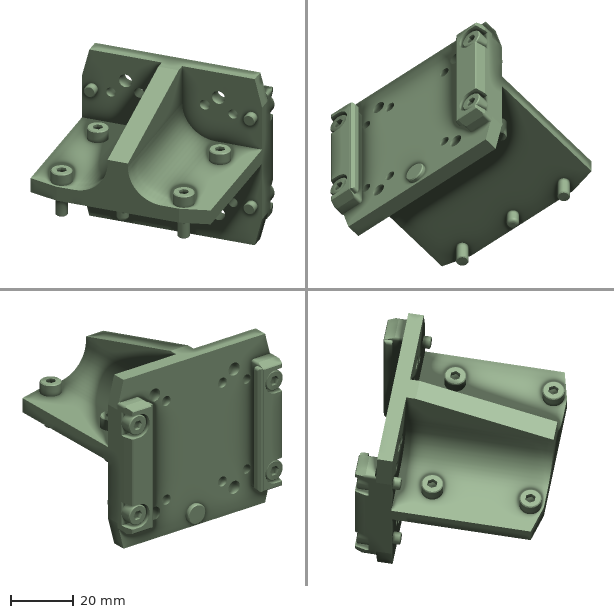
import cadquery as cq
import math


width = 62.0
plate_height = 60.0
thickness = 5.0
shelf_depth = 48.0
corner_long = 9.85
corner_short = 2.55
rib_width = 7.0
rib_fillet = 11.6
rib_flat_depth = 3.1
rib_front_height = 18.05

plate_holes = [
    (16.0, 21.0, 4.5),
    (11.3, 17.55, 3.5),
    (21.0, 16.0, 3.2),
]

head_diameter = 7.0
head_height = 4.0
shank_diameter = 4.0
screw_chamfer = 0.3
socket_corner_diameter = 3.5
socket_depth = 1.6
socket_cone_depth = 1.0

shelf_screw_x = 21.0
shelf_screw_y = (-11.6, -43.6)
shelf_screw_reach = 7.0
rail_screw_x = 27.45
rail_screw_z = 16.0
rail_screw_reach = 2.55

rail_height = 7.0
rail_neck_width = 8.5
rail_half_length = 22.7
rail_lip = 1.55
rail_lip_bottom = 4.0
rail_lip_top = 5.8
rail_lip_crest = 6.7
lip_half_length = 21.8
rail_taper_start = 3.5
rail_taper_angle = 15
rail_corner_radius = 1.0
rail_top_chamfer = 0.25
relief_depth = 0.5
relief_edge = 0.75
pocket_width = 8.3
pocket_floor = 2.3

locator_end_distance = 4.45
pin_length = 4.9
pin_diameter = 4.0
pin_tip_fillet = 1.25
disc_diameter = 7.0
disc_height = 1.5

half_width = width / 2
half_height = plate_height / 2
half_rib = rib_width / 2
sides = (-1, 1)


def y_extrude(profile, start, end):
    """Extrude an XZ-plane outline from Y = start to Y = end."""
    return profile.extrude(start - end).translate((0, start, 0))


def y_block(x_size, z_size, start, end, taper=0):
    """Block centred on the Y axis, its four sides leaning inward by the taper angle."""
    block = cq.Workplane("XZ").rect(x_size, z_size).extrude(start - end, taper=taper)
    return block.translate((0, start, 0))


def make_plate():
    inner_x = half_width - corner_short
    inner_z = half_height - corner_long
    outline = cq.Workplane("XZ").polyline([
        (-inner_x, -half_height), (inner_x, -half_height),
        (half_width, -inner_z), (half_width, inner_z),
        (inner_x, half_height), (-inner_x, half_height),
        (-half_width, inner_z), (-half_width, -inner_z),
    ]).close()
    return y_extrude(outline, 0, thickness)


def make_shelf():
    front_x = half_width - corner_long
    side_y = corner_short - shelf_depth
    return (
        cq.Workplane("XY")
        .polyline([
            (-half_width, 0), (-half_width, side_y), (-front_x, -shelf_depth),
            (front_x, -shelf_depth), (half_width, side_y), (half_width, 0),
        ])
        .close()
        .extrude(thickness)
    )


def make_rib():
    """Sloping rib flared into the shelf by a large concave fillet on each side."""
    foot_x = half_rib + rib_fillet
    fillet_top = thickness + rib_fillet
    arc_offset = rib_fillet * (1 - math.sqrt(0.5))
    arc_mid_x = half_rib + arc_offset
    arc_mid_z = thickness + arc_offset
    section = (
        cq.Workplane("XZ")
        .moveTo(-foot_x, thickness)
        .threePointArc((-arc_mid_x, arc_mid_z), (-half_rib, fillet_top))
        .lineTo(-half_rib, half_height)
        .lineTo(half_rib, half_height)
        .lineTo(half_rib, fillet_top)
        .threePointArc((arc_mid_x, arc_mid_z), (foot_x, thickness))
        .lineTo(foot_x, 0)
        .lineTo(-foot_x, 0)
        .close()
    )
    side = (
        cq.Workplane("YZ")
        .polyline([
            (0, 0), (-shelf_depth, 0), (-shelf_depth, rib_front_height),
            (-rib_flat_depth, half_height), (0, half_height),
        ])
        .close()
        .extrude(half_width, both=True)
    )
    return y_extrude(section, -shelf_depth, 0).intersect(side)


def cut_plate_holes(body):
    for x, z, diameter in plate_holes:
        corners = [(sx * x, sz * z) for sx in sides for sz in sides]
        holes = cq.Workplane("XZ").pushPoints(corners).circle(diameter / 2)
        body = body.cut(y_extrude(holes, 0, thickness))
    return body


def make_screw(length):
    """Socket head screw pointing down, with the head seated at Z = 0."""
    head = (
        cq.Workplane("XY")
        .circle(head_diameter / 2)
        .extrude(head_height)
        .faces(">Z").edges().chamfer(screw_chamfer)
    )
    shank = (
        cq.Workplane("XY")
        .circle(shank_diameter / 2)
        .extrude(-length)
        .faces("<Z").edges().chamfer(screw_chamfer)
    )
    socket_bottom = head_height - socket_depth
    socket_tip = socket_bottom - socket_cone_depth
    socket_radius = socket_corner_diameter / 2
    conical_bore = (
        cq.Workplane("XZ")
        .polyline([
            (0, socket_tip), (socket_radius, socket_bottom),
            (socket_radius, head_height), (0, head_height),
        ])
        .close()
        .revolve(360, (0, 0), (0, 1))
    )
    hexagon = (
        cq.Workplane("XY")
        .polygon(6, socket_corner_diameter)
        .extrude(head_height)
    )
    return head.union(shank).cut(conical_bore.intersect(hexagon))


def make_left_rail():
    """Rail on the -X side: neck, tapered flange and lip facing the middle."""
    rail_length = 2 * rail_half_length
    inner_x = rail_neck_width - half_width
    bar = y_block(rail_neck_width, rail_length, 0, rail_height)
    bar = bar.edges("|Y").fillet(rail_corner_radius)
    bar = bar.translate((inner_x - rail_neck_width / 2, 0, 0))

    neck_envelope = y_block(width, rail_length, 0, rail_taper_start)
    flange_envelope = y_block(
        width, rail_length, rail_taper_start, rail_height, rail_taper_angle
    )
    flange_envelope = flange_envelope.faces(">Y").edges().chamfer(rail_top_chamfer)
    rail = bar.intersect(neck_envelope.union(flange_envelope))

    lip_x = inner_x + rail_lip
    lip_bevel = rail_lip_crest - rail_lip_top
    lip_root = inner_x - rail_corner_radius
    lip = (
        cq.Workplane("XY")
        .polyline([
            (lip_root, rail_lip_bottom), (lip_x, rail_lip_bottom), (lip_x, rail_lip_top),
            (lip_x - lip_bevel, rail_lip_crest), (lip_root, rail_lip_crest),
        ])
        .close()
        .extrude(lip_half_length, both=True)
        .faces(">X").edges("|Y").fillet(rail_corner_radius)
    )
    rail = rail.union(lip)

    relief = cq.Workplane("XY").box(
        width, relief_depth, 2 * rail_half_length, centered=(False, False, True)
    ).translate((relief_edge - half_width, 0, 0))
    rail = rail.cut(relief)

    pocket_depth = rail_height - pocket_floor
    for z in (-rail_screw_z, rail_screw_z):
        round_end = cq.Workplane("XZ").center(-rail_screw_x, z).circle(pocket_width / 2)
        opening = cq.Workplane("XY").box(
            half_width, pocket_depth, pocket_width, centered=(False, False, True)
        ).translate((-half_width - rail_screw_x, pocket_floor, z))
        rail = rail.cut(y_extrude(round_end, pocket_floor, rail_height)).cut(opening)
    return rail.translate((0, thickness, 0))


def make_locating_pin():
    return (
        cq.Workplane("XY")
        .circle(pin_diameter / 2)
        .extrude(-pin_length)
        .faces("<Z").edges().fillet(pin_tip_fillet)
        .translate((0, locator_end_distance - shelf_depth, 0))
    )


def make_locating_disc():
    outline = (
        cq.Workplane("XZ")
        .center(0, locator_end_distance - half_height)
        .circle(disc_diameter / 2)
    )
    disc = y_extrude(outline, thickness, thickness + disc_height)
    return disc.faces(">Y").edges().chamfer(screw_chamfer)


result = cut_plate_holes(make_plate()).union(make_shelf()).union(make_rib())

left_rail = make_left_rail()
result = result.union(left_rail).union(left_rail.mirror("YZ"))

shelf_screw = make_screw(thickness + shelf_screw_reach)
rail_screw_length = pocket_floor + thickness + rail_screw_reach
rail_screw = make_screw(rail_screw_length).rotate((0, 0, 0), (1, 0, 0), -90)
for side in sides:
    for y in shelf_screw_y:
        result = result.union(shelf_screw.translate((side * shelf_screw_x, y, thickness)))
    for z in (-rail_screw_z, rail_screw_z):
        seat = (side * rail_screw_x, thickness + pocket_floor, z)
        result = result.union(rail_screw.translate(seat))

result = result.union(make_locating_pin()).union(make_locating_disc())